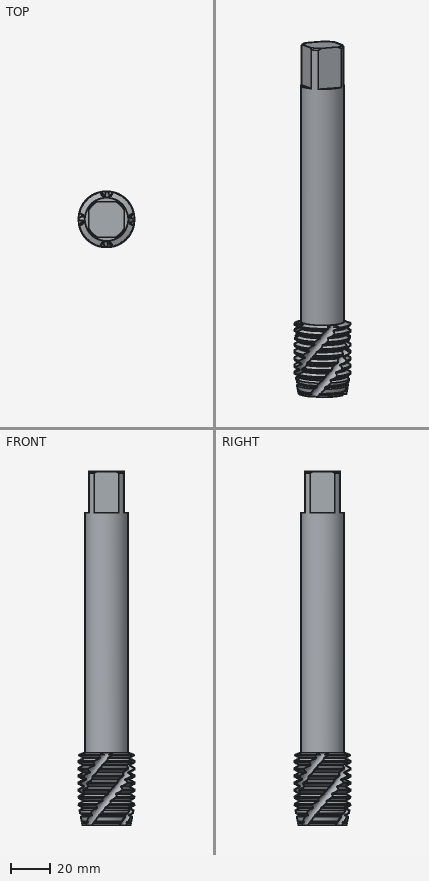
import cadquery as cq
import math

total_length = 180.0
head_length = 37.0

shank_radius = 11.0
square_width = 18.0
square_length = 21.0
end_chamfer_radial = 0.8
end_chamfer_height = 0.9

inch = 25.4
thread_radius = 1.125 * inch / 2
pitch = inch / 7
profile_height = pitch * math.sqrt(3) / 2
root_radius = thread_radius - profile_height * 17 / 24
crest_width = pitch / 5
flank_tangent = math.tan(math.radians(30))
groove_overreach = 1.0
first_groove_height = 1.5
groove_count = 10

tip_radius = 12.3
lead_length = 10.0
back_cone_height = 1.1

flute_count = 4
flute_lead = 94.0
flute_straight_length = 1.1
flute_radius = 3.1
flute_root_radius = 11.1
flute_center_radius = flute_root_radius + flute_radius


def revolve_profile(points):
    return cq.Workplane("XZ").polyline(points).close().revolve(360, (0, 0, 0), (0, 1, 0))


def make_shank():
    shank = revolve_profile([
        (0, head_length),
        (shank_radius, head_length),
        (shank_radius, total_length - end_chamfer_height),
        (shank_radius - end_chamfer_radial, total_length),
        (0, total_length),
    ])
    square_base = total_length - square_length
    stock_width = 3 * shank_radius
    flats = (
        cq.Workplane("XY", origin=(0, 0, square_base))
        .rect(stock_width, stock_width)
        .rect(square_width, square_width)
        .extrude(square_length)
    )
    return shank.cut(flats)


def make_head_blank():
    return revolve_profile([
        (0, 0),
        (tip_radius, 0),
        (thread_radius, lead_length),
        (thread_radius, head_length - back_cone_height),
        (shank_radius, head_length),
        (0, head_length),
    ])


def make_groove(height):
    """Ring with a 60 degree V section, flat at the root, reaching past the thread crest."""
    outer_radius = thread_radius + groove_overreach
    mouth_half = (pitch - crest_width) / 2
    outer_half = mouth_half + (outer_radius - thread_radius) * flank_tangent
    root_half = mouth_half - (thread_radius - root_radius) * flank_tangent
    return revolve_profile([
        (root_radius, height - root_half),
        (outer_radius, height - outer_half),
        (outer_radius, height + outer_half),
        (root_radius, height + root_half),
    ])


def make_flute(angle):
    """Helical run and straight run as two cutters that meet in the same round section."""
    helix_length = head_length - flute_straight_length
    twist = 360 * helix_length / flute_lead
    helical_run = (
        cq.Workplane("XY")
        .center(flute_center_radius, 0)
        .circle(flute_radius)
        .center(-flute_center_radius, 0)
        .twistExtrude(helix_length, twist)
        .rotate((0, 0, 0), (0, 0, 1), angle - twist)
    )
    straight_run = (
        cq.Workplane("XY", origin=(0, 0, helix_length))
        .center(flute_center_radius, 0)
        .circle(flute_radius)
        .extrude(flute_straight_length)
        .rotate((0, 0, 0), (0, 0, 1), angle)
    )
    return helical_run, straight_run


def make_head():
    head = make_head_blank()
    for index in range(groove_count):
        head = head.cut(make_groove(first_groove_height + index * pitch))
    for index in range(flute_count):
        for run in make_flute(index * 360 / flute_count):
            head = head.cut(run)
    return head


shank = make_shank()
head = make_head()

result = cq.Compound.makeCompound([shank.val(), *head.vals()])